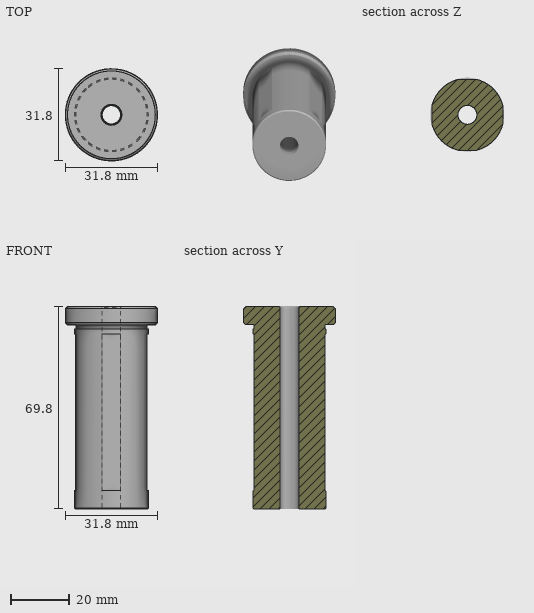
import cadquery as cq
import math

total_length = 69.85
head_diameter = 31.8
head_height = 6.35
head_chamfer = 0.8
body_diameter = 25.4
neck_diameter = 24.6
neck_length = 1.3
foot_chamfer = 0.4
bore_diameter = 6.35
bore_chamfer = 0.4
flat_width = 6.4
flat_bottom = 6.35
flat_top = 60.3
flat_count = 4

head_radius = head_diameter / 2
body_radius = body_diameter / 2
neck_radius = neck_diameter / 2
bore_radius = bore_diameter / 2
head_bottom = total_length - head_height
body_top = head_bottom - neck_length
flat_distance = math.sqrt(body_radius**2 - (flat_width / 2) ** 2)


def make_sleeve():
    """Headed sleeve with its bore, revolved about Z from a half section."""
    half_section = [
        (bore_radius, 0),
        (body_radius - foot_chamfer, 0),
        (body_radius, foot_chamfer),
        (body_radius, body_top),
        (neck_radius, body_top),
        (neck_radius, head_bottom),
        (head_radius - head_chamfer, head_bottom),
        (head_radius, head_bottom + head_chamfer),
        (head_radius, total_length - head_chamfer),
        (head_radius - head_chamfer, total_length),
        (bore_radius + bore_chamfer, total_length),
        (bore_radius, total_length - bore_chamfer),
    ]
    return cq.Workplane("XZ").polyline(half_section).close().revolve(360, (0, 0), (0, 1))


def make_flat_cutter(angle):
    """Block that removes one shallow flat from the body at the given angle."""
    cutter_depth = body_radius - flat_distance + 0.7
    return (
        cq.Workplane("XY")
        .box(cutter_depth, body_diameter, flat_top - flat_bottom, centered=(False, True, False))
        .translate((flat_distance, 0, flat_bottom))
        .rotate((0, 0, 0), (0, 0, 1), angle)
    )


result = make_sleeve()
for index in range(flat_count):
    result = result.cut(make_flat_cutter(index * 360 / flat_count))